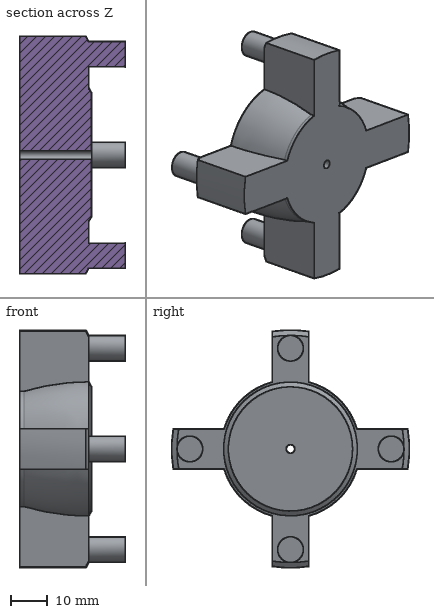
import cadquery as cq
import math

overall_length = 28.9
outer_radius = 32.5

arm_depth = 18.9
upright_arm_width = 10.0
level_arm_width = 11.0
rim_bevel_length = 0.8
rim_bevel_height = 1.5

hub_front_radius = 16.5
hub_back_radius = 19.0
hub_land_length = 1.2
boss_length = 0.8
boss_radius = 18.25
boss_bevel = 1.3

pin_diameter = 7.0
pin_circle_radius = 27.5
pin_count = 4
bore_diameter = 2.3


def make_arms():
    """Upright and level bars trimmed by a bevelled round blank."""
    upright = cq.Workplane("XY").box(
        arm_depth, upright_arm_width, 2 * outer_radius, centered=(False, True, True)
    )
    level = cq.Workplane("XY").box(
        arm_depth, 2 * outer_radius, level_arm_width, centered=(False, True, True)
    )
    blank = (
        cq.Workplane("XY")
        .lineTo(0, outer_radius)
        .lineTo(arm_depth - rim_bevel_length, outer_radius)
        .lineTo(arm_depth, outer_radius - rim_bevel_height)
        .lineTo(arm_depth, 0)
        .close()
        .revolve(360, (0, 0, 0), (1, 0, 0))
    )
    return upright.union(level).intersect(blank)


def make_hub():
    """Turned hub whose flank arc runs parallel to the axis at the back."""
    flank_run = arm_depth - hub_land_length
    flank_rise = hub_back_radius - hub_front_radius
    flank_radius = (flank_run**2 + flank_rise**2) / (2 * flank_rise)
    half_angle = math.asin(flank_run / flank_radius) / 2
    flank_middle = (
        arm_depth - flank_radius * math.sin(half_angle),
        hub_back_radius - flank_radius * (1 - math.cos(half_angle)),
    )
    hub_length = arm_depth + boss_length
    return (
        cq.Workplane("XY")
        .lineTo(0, hub_front_radius)
        .lineTo(hub_land_length, hub_front_radius)
        .threePointArc(flank_middle, (arm_depth, hub_back_radius))
        .lineTo(arm_depth, boss_radius)
        .lineTo(hub_length, boss_radius - boss_bevel)
        .lineTo(hub_length, 0)
        .close()
        .revolve(360, (0, 0, 0), (1, 0, 0))
    )


def make_pins():
    """One pin on the back of each arm."""
    return (
        cq.Workplane("YZ", origin=(arm_depth, 0, 0))
        .polarArray(pin_circle_radius, 0, 360, pin_count)
        .circle(pin_diameter / 2)
        .extrude(overall_length - arm_depth)
    )


bore = cq.Workplane("YZ").circle(bore_diameter / 2).extrude(overall_length)

result = make_arms().union(make_hub()).union(make_pins()).cut(bore)